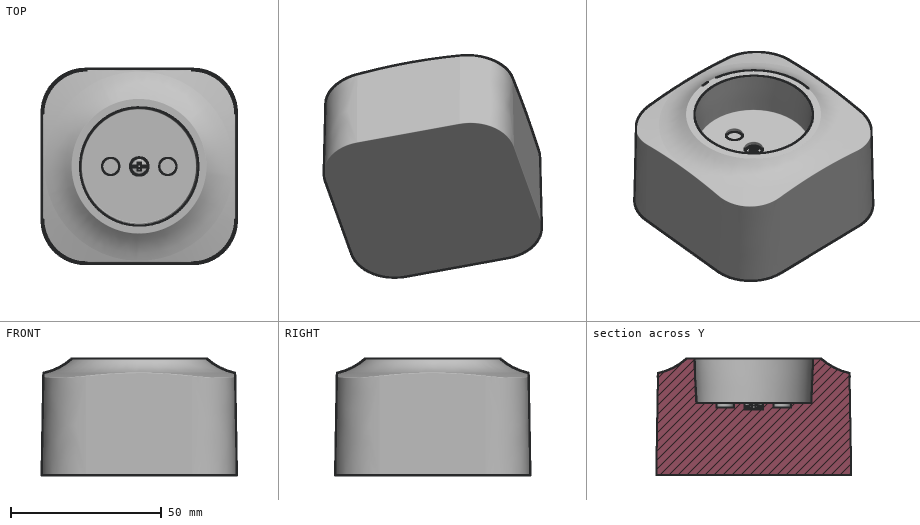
import cadquery as cq
import math

side = 65.0
height = 38.9
corner_radius = 14.9
draft_angle = 1.0
edge_fillet = 0.2

rim_radius = 22.4
flare_radius = 31.45
flare_edge_height = 34.2
skirt_slope_angle = 13.0
skirt_radius = 48.75

well_top_radius = 19.7
well_floor_radius = 19.05
well_depth = 14.75
floor_height = height - well_depth

plug_hole_offset = 9.5
plug_hole_radius = 2.85
plug_hole_depth = 1.5
screw_hole_radius = 3.05
screw_hole_depth = 2.2

head_radius = 2.85
head_height = 1.55
head_rim_height = 0.4
crown_radius = 1.95
crown_edge_height = 1.25
slot_width = 0.8
slot_depth = 1.0
recess_depth = 1.3
recess_floor_length = 1.2
long_arm_length = 3.0
long_arm_width = 1.1
short_arm_length = 2.15


def top_surface_envelope():
    """Turned body whose upper face is the housing's top surface."""
    slope = math.radians(skirt_slope_angle)
    chord_run = flare_radius - rim_radius
    chord_rise = height - flare_edge_height
    chord_angle = math.atan2(chord_rise, chord_run)
    half_sweep = chord_angle - slope
    sag = math.hypot(chord_run, chord_rise) / 2 * math.tan(half_sweep / 2)
    flare_middle = (
        (rim_radius + flare_radius) / 2 - sag * math.sin(chord_angle),
        (height + flare_edge_height) / 2 - sag * math.cos(chord_angle),
    )
    skirt_height = flare_edge_height - (skirt_radius - flare_radius) * math.tan(slope)
    return (
        cq.Workplane("XZ")
        .lineTo(skirt_radius, 0)
        .lineTo(skirt_radius, skirt_height)
        .lineTo(flare_radius, flare_edge_height)
        .threePointArc(flare_middle, (rim_radius, height))
        .lineTo(0, height)
        .close()
        .revolve()
    )


def tapered_block():
    """Rounded square block whose walls lean inward toward the top."""
    outline = cq.Sketch().rect(side, side).vertices().fillet(corner_radius)
    return cq.Workplane("XY").placeSketch(outline).extrude(height, taper=draft_angle)


def well():
    """Slightly conical cutter for the round well."""
    cutter = (
        cq.Workplane("XZ")
        .moveTo(0, floor_height)
        .lineTo(well_floor_radius, floor_height)
        .lineTo(well_top_radius, height)
        .lineTo(0, height)
        .close()
        .revolve()
    )
    return cutter.faces("<Z").edges().fillet(edge_fillet)


def floor_hole(x, radius, depth):
    """Cutter for a blind hole in the well floor, flaring out to a rounded mouth."""
    bottom = floor_height - depth
    return (
        cq.Workplane("XZ")
        .moveTo(0, bottom)
        .lineTo(radius, bottom)
        .lineTo(radius, floor_height - edge_fillet)
        .radiusArc((radius + edge_fillet, floor_height), edge_fillet)
        .lineTo(0, floor_height)
        .close()
        .revolve()
        .translate((x, 0, 0))
    )


def make_housing():
    """Block with its top surface, softened edges, well and three floor holes."""
    body = tapered_block().intersect(top_surface_envelope())
    body = body.edges("not(%LINE or %CIRCLE)").fillet(edge_fillet)
    body = body.faces("<Z or >Z").edges().fillet(edge_fillet)
    body = body.cut(well())
    for x in (-plug_hole_offset, plug_hole_offset):
        body = body.cut(floor_hole(x, plug_hole_radius, plug_hole_depth))
    body = body.cut(floor_hole(0, screw_hole_radius, screw_hole_depth))
    return body.solids()


def recess_arm(plane, length, width, mouth_height):
    """Cutter for one arm of the cross recess, with sloping ends."""
    return (
        cq.Workplane(plane)
        .moveTo(-recess_floor_length / 2, head_height - recess_depth)
        .lineTo(recess_floor_length / 2, head_height - recess_depth)
        .lineTo(length / 2, mouth_height)
        .lineTo(-length / 2, mouth_height)
        .close()
        .extrude(width / 2, both=True)
    )


def make_screw():
    """Raised screw head with a straight slot and a cross recess, resting on its hole's floor."""
    shoulder_rise = crown_edge_height - head_rim_height
    shoulder_run = head_radius - crown_radius
    shoulder_middle = (
        crown_radius + shoulder_run * math.sin(math.pi / 4),
        head_rim_height + shoulder_rise * math.sin(math.pi / 4),
    )
    crown_middle = (crown_radius / 2, crown_edge_height + (head_height - crown_edge_height) * 3 / 4)
    head = (
        cq.Workplane("XZ")
        .lineTo(head_radius, 0)
        .lineTo(head_radius, head_rim_height)
        .threePointArc(shoulder_middle, (crown_radius, crown_edge_height))
        .threePointArc(crown_middle, (0, head_height))
        .close()
        .revolve()
    )
    slot = (
        cq.Workplane("XY", origin=(0, 0, head_height - slot_depth))
        .rect(2 * head_radius, slot_width)
        .extrude(slot_depth)
    )
    head = head.cut(slot)
    head = head.cut(recess_arm("YZ", long_arm_length, long_arm_width, head_height))
    head = head.cut(recess_arm("XZ", short_arm_length, slot_width, head_height - slot_depth))
    head = head.translate((0, 0, floor_height - screw_hole_depth))
    return head.solids()


housing = make_housing()
screw = make_screw()
result = cq.Compound.makeCompound([housing.val(), screw.val()])